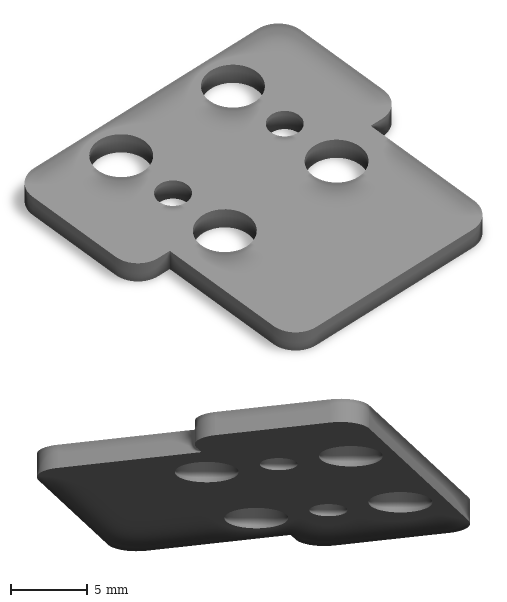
import cadquery as cq

plate_length = 24.0
left_height = 24.0
right_height = 18.0
left_length = plate_length / 2
thickness = 1.6
corner_radius = 2.0

hole_pitch = 10.0
first_hole_offset = 3.0
large_diameter = 4.2
small_diameter = 2.5

left_edge = -plate_length / 2
first_hole_x = left_edge + first_hole_offset
row_positions = [-hole_pitch / 2, hole_pitch / 2]


def rounded_plate(start_x, length, height, rounded_edges):
    """Plate starting at start_x, centred on Y, with the selected edges rounded."""
    return (
        cq.Workplane("XY")
        .box(length, height, thickness, centered=(False, True, False))
        .edges(rounded_edges)
        .fillet(corner_radius)
        .translate((start_x, 0, 0))
    )


def hole_cutters(diameter, x_positions):
    """Through-hole cylinders at the given X positions in both rows."""
    centers = [(x, y) for x in x_positions for y in row_positions]
    return cq.Workplane("XY").pushPoints(centers).circle(diameter / 2).extrude(thickness)


overlap = left_length / 2
left_section = rounded_plate(left_edge, left_length, left_height, "|Z")
right_section = rounded_plate(
    left_edge + left_length - overlap,
    plate_length - left_length + overlap,
    right_height,
    "|Z and >X",
)
plate = left_section.union(right_section).clean()

large_holes = hole_cutters(large_diameter, [first_hole_x, first_hole_x + hole_pitch])
small_holes = hole_cutters(small_diameter, [first_hole_x + hole_pitch / 2])

result = plate.cut(large_holes).cut(small_holes)